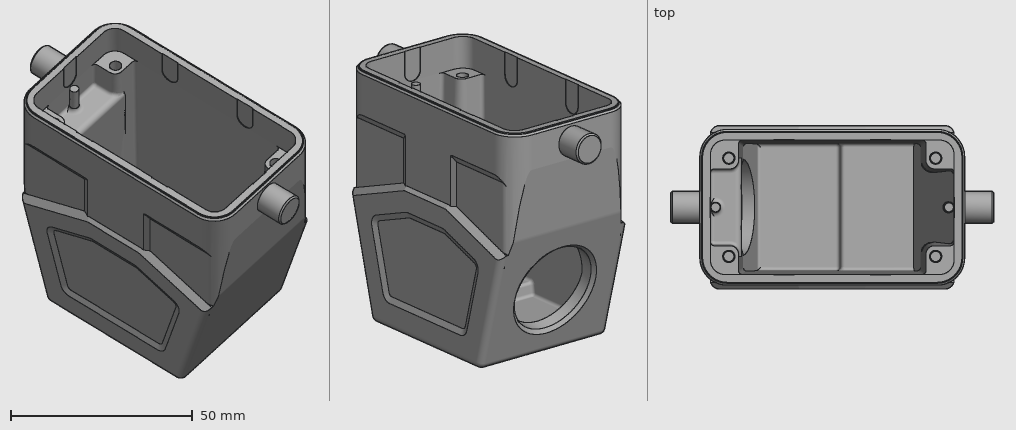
import cadquery as cq
import math

overall_length = 89.0
height = 72.0
belly_half_width = 22.5
rim_half_length = 36.5
rim_half_width = 21.45
rim_corner_radius = 7.6
rim_edge_chamfer = 0.5
rim_lip_height = 0.4
rim_lip_inset = 0.8
quadrants = [(x_sign, y_sign) for x_sign in (-1, 1) for y_sign in (-1, 1)]
far = 53.4

base_half_length = 23.9
bend_half_length = 34.5
bend_height = 39.9
taper_start_height = 60.7
bend_radius = 5.3
side_slope = (bend_half_length - base_half_length) / bend_height

belly_shoulder = 1.9
belly_edge_radius = 2.05
gable_angle = 20.0
gable_half_length = 9.1
gable_height = 43.1
upper_bottom = 32.0

relief_depth = 0.8
relief_slope_width = 1.8
recess_inner = 9.9
recess_top = 59.1
recess_corner_radius = 0.7
recess_end_radius = 2.5

panel_half_length = 8.1
panel_top = 37.0
panel_bottom = 7.8
panel_inset = 8.1
panel_corner_radius = 3.1

pin_radius = 4.45
pin_height = 65.95
pin_edge_chamfer = 0.45
pin_root = 34.7

cavity_half_length = 33.55
cavity_half_width = 18.5
cavity_corner_radius = 4.0
cavity_draft = 1.1
ledge_height = 62.7
low_floor = 4.6
high_floor = 8.45
step_start = 2.0
step_end = 2.6
low_floor_end = -20.4
high_floor_end = 22.4
floor_fillet = 1.0
wall_fillet = 1.1

pad_face = 25.0
pad_top = 54.3
pad_edge_radius = 1.7

post_face_x = 25.8
post_face_y = 10.6
post_corner_radius = 2.3
post_draft = 1.8
screw_x = 28.5
screw_y = 13.5
screw_top_radius = 1.7
screw_bottom_radius = 1.4
screw_depth = 17.8

rib_x = 32.1
rib_top = 62.3
rib_radius = 1.25
rib_draft = 1.0
rib_foot_radius = 1.3
groove_x = 13.35
groove_width = 5.5
groove_depth = 0.2

entry_height = 19.9
entry_radius = 13.3
entry_chamfer = 1.1
entry_depth = 13.35


def side_x(z):
    """Half length of the steeply tapered lower part at height z."""
    return base_half_length + side_slope * z


def mirrored(points):
    """Closed outline from its right half, given bottom to top."""
    return points + [(-x, z) for x, z in reversed(points)]


def through_y(points, half_width):
    """XZ outline extruded equally to both sides of the XZ plane."""
    return cq.Workplane("XZ").polyline(points).close().extrude(half_width, both=True)


def gabled_outline(half_length, top, bottom, inset):
    """Outline with a flat peak, gable slopes and sides along the end walls."""
    gable_slope = math.tan(math.radians(gable_angle))
    corner_z = (top + gable_slope * (half_length + inset - base_half_length)) / (1 + gable_slope * side_slope)
    return mirrored([
        (side_x(bottom) - inset, bottom),
        (side_x(corner_z) - inset, corner_z),
        (half_length, top),
    ])


def sunk_into_wall(outline, wall_y, corner_radius):
    """Cutter for a relief in the front wall, with sloping edges narrowing inwards."""
    relief_taper = math.degrees(math.atan(relief_slope_width / relief_depth))
    face = cq.Sketch().polygon(outline + outline[:1]).vertices().fillet(corner_radius)
    return (
        cq.Workplane("XZ", origin=(0, -wall_y, 0))
        .placeSketch(face)
        .extrude(-relief_depth, taper=relief_taper)
    )


def box_between(low, high):
    """Selector for edges whose centre lies inside the given limits."""
    return cq.selectors.BoxSelector(low, high)


def make_upper_body():
    box = (
        cq.Workplane("XY", origin=(0, 0, upper_bottom))
        .rect(2 * rim_half_length, 2 * rim_half_width)
        .extrude(height - rim_lip_height - upper_bottom)
        .edges("|Z").fillet(rim_corner_radius)
        .faces(">Z").edges().chamfer(rim_edge_chamfer)
        .faces(">Z").workplane()
        .sketch().rect(2 * (rim_half_length - rim_lip_inset), 2 * (rim_half_width - rim_lip_inset))
        .vertices().fillet(rim_corner_radius - rim_lip_inset).finalize()
        .extrude(rim_lip_height)
    )
    profile = through_y(mirrored([
        (base_half_length, 0),
        (bend_half_length, bend_height),
        (rim_half_length, taper_start_height),
        (rim_half_length, height),
    ]), far)
    at_bend = box_between((-far, -far, bend_height - 0.9), (far, far, bend_height + 0.9))
    profile = profile.edges("|Y").edges(at_bend).fillet(bend_radius)
    body = box.intersect(profile)
    for side in (-1, 1):
        outline = [
            (side * recess_inner, 0),
            (side * far, 0),
            (side * far, recess_top),
            (side * recess_inner, recess_top),
        ]
        recess = sunk_into_wall(outline, rim_half_width, recess_corner_radius)
        body = body.cut(recess).cut(recess.mirror("XZ"))
    recess_mid = (upper_bottom + recess_top - relief_slope_width) / 2
    reach = bend_half_length - 0.9
    outer_ends = box_between((-reach, -far, recess_mid - 0.9), (reach, far, recess_mid + 0.9))
    inner_ends = box_between((-rim_half_length / 2, -far, 0), (rim_half_length / 2, far, far))
    return body.edges(outer_ends - inner_ends).fillet(recess_end_radius)


def make_belly():
    peak_half_length = gable_half_length + belly_shoulder * math.tan(math.radians(gable_angle / 2))
    outline = gabled_outline(peak_half_length, gable_height + belly_shoulder, 0, 0)
    belly = through_y(outline, belly_half_width)
    shoulder = box_between((-far, -far, upper_bottom), (far, far, far))
    belly = belly.edges("#Y").edges("not |Y").edges("<Y or >Y").edges(shoulder).chamfer(belly_shoulder)
    lower = box_between((-far, -far, -0.9), (far, far, upper_bottom))
    belly = belly.edges(lower).fillet(belly_edge_radius)
    panel_outline = gabled_outline(panel_half_length, panel_top, panel_bottom, panel_inset)
    panel = sunk_into_wall(panel_outline, belly_half_width, panel_corner_radius)
    return belly.cut(panel).cut(panel.mirror("XZ"))


def make_pin(side):
    pin = cq.Workplane("YZ", origin=(pin_root, 0, pin_height)).circle(pin_radius)
    pin = pin.extrude(overall_length / 2 - pin_root).faces(">X").chamfer(pin_edge_chamfer)
    return pin if side > 0 else pin.mirror("YZ")


def make_post(x_sign, y_sign):
    size_x = far - post_face_x
    size_y = far - post_face_y
    return (
        cq.Workplane("XY", origin=(0, 0, ledge_height))
        .center(x_sign * (post_face_x + size_x / 2), y_sign * (post_face_y + size_y / 2))
        .sketch().rect(size_x, size_y).vertices().fillet(post_corner_radius).finalize()
        .extrude(-ledge_height, taper=-post_draft)
    )


def make_screw_hole(x, y):
    return (
        cq.Workplane("XY", origin=(x, y, ledge_height))
        .circle(screw_top_radius)
        .workplane(offset=-screw_depth)
        .circle(screw_bottom_radius)
        .loft()
    )


def make_pad():
    pad = (
        cq.Workplane("XY")
        .box(far - pad_face, 2 * screw_y, pad_top, centered=(False, True, False))
        .translate((-far, 0, 0))
    )
    return pad.edges(">X and >Z").fillet(pad_edge_radius)


def make_rib(side):
    return (
        cq.Workplane("XY", origin=(side * rib_x, 0, rib_top))
        .circle(rib_radius)
        .extrude(-rib_top, taper=-rib_draft)
    )


def make_rib_foot():
    """Concave flare where one rib stands on the pad."""
    base_radius = rib_radius + (rib_top - pad_top) * math.tan(math.radians(rib_draft))
    middle = rib_foot_radius * (1 - math.sqrt(0.5))
    flare = (
        cq.Workplane("XZ", origin=(-rib_x, 0, pad_top))
        .lineTo(base_radius + rib_foot_radius, 0)
        .threePointArc((base_radius + middle, middle), (base_radius, rib_foot_radius))
        .lineTo(0, rib_foot_radius)
        .close()
    )
    return flare.revolve(360, (0, 0, 0), (0, 1, 0))


def cavity_box(depth, draft):
    return (
        cq.Workplane("XY", origin=(0, 0, ledge_height))
        .sketch().rect(2 * cavity_half_length, 2 * cavity_half_width)
        .vertices().fillet(cavity_corner_radius).finalize()
        .extrude(depth, taper=draft)
    )


def slanted_end(floor_end, floor):
    """Point at ledge height on the slanted end that rises from the given end of a floor."""
    return (floor_end + math.copysign(side_slope * (ledge_height - floor), floor_end), ledge_height)


def make_cavity():
    lower = cavity_box(-ledge_height, cavity_draft)
    for x_sign, y_sign in quadrants:
        lower = lower.cut(make_post(x_sign, y_sign))
    between_ends = box_between((-far, -far, 0.9), (far, far, ledge_height - 0.9))
    post_corners = box_between((-screw_x, -screw_y, 0), (screw_x, screw_y, far))
    lower = lower.edges(between_ends - post_corners).fillet(wall_fillet)

    floor_profile = [
        slanted_end(low_floor_end, low_floor),
        (low_floor_end, low_floor),
        (step_start, low_floor),
        (step_end, high_floor),
        (high_floor_end, high_floor),
        slanted_end(high_floor_end, high_floor),
    ]
    lower = lower.intersect(through_y(floor_profile, far))
    at_floor = box_between((-far, -far, 0), (high_floor_end - 0.9, far, high_floor + 0.1))
    lower = lower.edges(at_floor).fillet(floor_fillet)

    lower = lower.cut(make_pad())
    pad_rim = pad_face + pad_edge_radius + 0.1
    shelf = box_between((-far, -far, pad_top - 0.1), (-pad_rim, far, pad_top + 0.1))
    lower = lower.edges(shelf).fillet(wall_fillet)
    for side in (-1, 1):
        lower = lower.cut(make_rib(side))
    lower = lower.cut(make_rib_foot())
    return lower.union(cavity_box(height - ledge_height, 0))


def make_groove(x, half_span):
    """A pair of grooves at x on opposite walls that are twice half_span apart."""
    end_radius = groove_width / 2
    return (
        cq.Workplane("XZ")
        .moveTo(x - end_radius, height)
        .lineTo(x - end_radius, ledge_height + end_radius)
        .threePointArc((x, ledge_height), (x + end_radius, ledge_height + end_radius))
        .lineTo(x + end_radius, height)
        .close()
        .extrude(half_span + groove_depth, both=True)
    )


def make_cable_entry():
    mouth = cq.Vector(-side_x(entry_height), 0, entry_height)
    inwards = cq.Vector(1, 0, side_slope).normalized()
    bore = cq.Solid.makeCylinder(entry_radius, entry_depth, mouth, inwards)
    countersink = cq.Solid.makeCone(entry_radius + entry_chamfer, entry_radius, entry_chamfer, mouth, inwards)
    return cq.Workplane(bore).union(cq.Workplane(countersink))


result = make_upper_body().union(make_belly())
result = result.cut(make_cavity()).cut(make_cable_entry())
for x_sign, y_sign in quadrants:
    result = result.cut(make_screw_hole(x_sign * screw_x, y_sign * screw_y))
for side in (-1, 1):
    result = result.cut(make_groove(side * groove_x, cavity_half_width))
    result = result.union(make_pin(side))
end_grooves = make_groove(0, cavity_half_length).rotate((0, 0, 0), (0, 0, 1), 90)
result = result.cut(end_grooves)